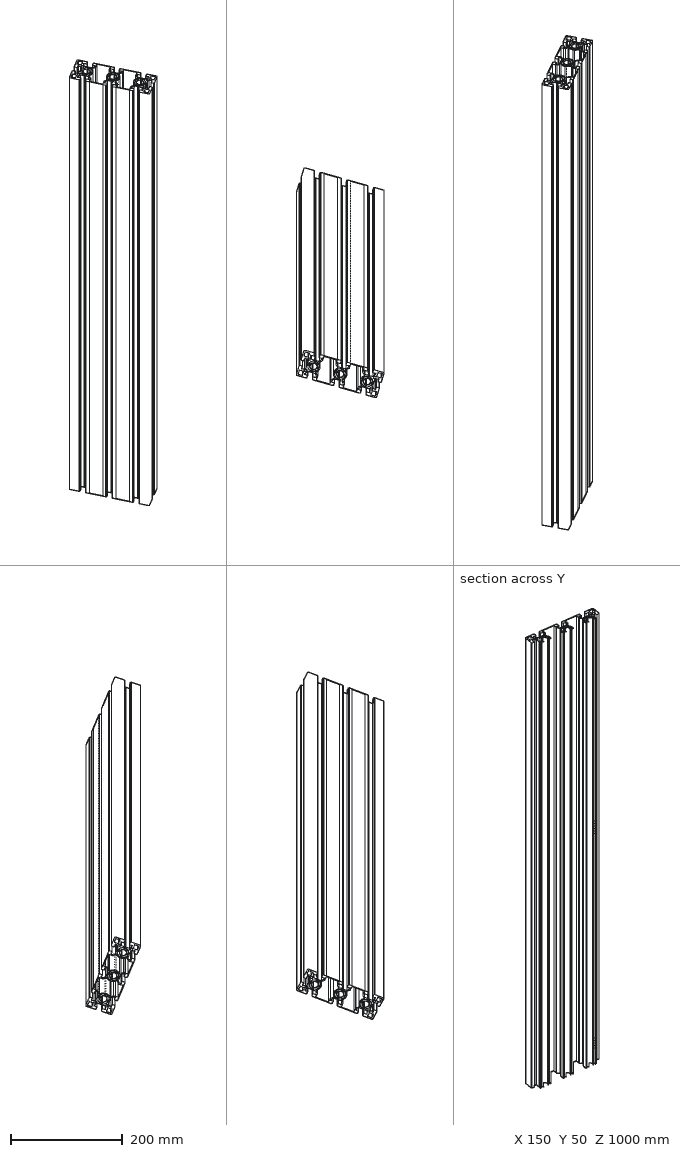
import cadquery as cq
import math

length = 1000.0
pitch = 50.0
columns = (-pitch, 0.0, pitch)
width = len(columns) * pitch
depth = pitch
corner_radius = 2.0

mouth_half = 6.5
throat_half = 5.0
mouth_bevel = 1.0
lip_depth = 6.0
cavity_half = 11.0
cavity_side_depth = 6.5
floor_half = 7.5
floor_depth = 13.0
groove_half = 1.0
groove_depth = 1.0

bore_radius = 6.0
pocket_inner_radius = 6.8
pocket_outer_radius = 10.0
spoke_half_angle = 7.0
core_radius = 12.0

slot_wall = 1.5
face_wall = 1.5
chamber_inset = cavity_half + slot_wall
chamber_top = pitch / 2 - face_wall
slope_end_height = 15.0
core_contact_angle = 54.0

corner_square_near = 14.0
corner_square_far = 22.0
kite_near = 9.0
kite_far = 13.0
kite_side_short = 10.0
kite_side_long = 14.0


def prism(points):
    return cq.Workplane("XY").polyline(points).close().extrude(length)


def polar(radius, degrees):
    angle = math.radians(degrees)
    return radius * math.cos(angle), radius * math.sin(angle)


def t_slot(column, turn):
    """Slot in the -Y face of a module, turned about the module centre."""
    half = [
        (mouth_half, 0),
        (throat_half, mouth_bevel),
        (throat_half, lip_depth),
        (cavity_half, lip_depth),
        (cavity_half, cavity_side_depth),
        (floor_half, floor_depth),
        (groove_half, floor_depth),
    ]
    left = [(-x, inward) for x, inward in half]
    groove_tip = (0, floor_depth + groove_depth)
    outline = [(x, inward - pitch / 2) for x, inward in left + [groove_tip] + half[::-1]]
    return prism(outline).rotate((0, 0, 0), (0, 0, 1), turn).translate((column, 0, 0))


def core_pocket(column, quadrant):
    """Ring sector between two radial spokes."""
    start = 90 * quadrant + spoke_half_angle
    middle = 90 * quadrant + 45
    end = 90 * (quadrant + 1) - spoke_half_angle
    return (
        cq.Workplane("XY", origin=(column, 0, 0))
        .moveTo(*polar(pocket_inner_radius, start))
        .lineTo(*polar(pocket_outer_radius, start))
        .threePointArc(polar(pocket_outer_radius, middle), polar(pocket_outer_radius, end))
        .lineTo(*polar(pocket_inner_radius, end))
        .threePointArc(polar(pocket_inner_radius, middle), polar(pocket_inner_radius, start))
        .close()
        .extrude(length)
    )


def chamber(center):
    """Chamber whose sides follow the slot walls and the round cores."""
    half_gap = pitch / 2
    contact_x, contact_y = polar(core_radius, core_contact_angle)
    contact_x = half_gap - contact_x
    side_x = half_gap - chamber_inset
    bulge_x = half_gap - core_radius
    return (
        cq.Workplane("XY", origin=(center, 0, 0))
        .moveTo(-contact_x, contact_y)
        .lineTo(-side_x, slope_end_height)
        .lineTo(-side_x, chamber_top)
        .lineTo(side_x, chamber_top)
        .lineTo(side_x, slope_end_height)
        .lineTo(contact_x, contact_y)
        .threePointArc((bulge_x, 0), (contact_x, -contact_y))
        .lineTo(side_x, -slope_end_height)
        .lineTo(side_x, -chamber_top)
        .lineTo(-side_x, -chamber_top)
        .lineTo(-side_x, -slope_end_height)
        .lineTo(-contact_x, -contact_y)
        .threePointArc((-bulge_x, 0), (-contact_x, contact_y))
        .close()
        .extrude(length)
    )


def corner_voids(side_x, side_y):
    """Square void at the corner and a kite void next to the core, both on the diagonal."""
    near, far = corner_square_near, corner_square_far
    square = [(near, near), (near, far), (far, far), (far, near)]
    kite = [
        (kite_near, kite_near),
        (kite_side_short, kite_side_long),
        (kite_far, kite_far),
        (kite_side_long, kite_side_short),
    ]
    return [prism([(side_x * (pitch + x), side_y * y) for x, y in shape]) for shape in (square, kite)]


profile = cq.Workplane("XY").rect(width, depth).extrude(length).edges("|Z").fillet(corner_radius)

for column in columns:
    for turn in (0, 180):
        profile = profile.cut(t_slot(column, turn))
profile = profile.cut(t_slot(columns[0], -90)).cut(t_slot(columns[-1], 90))

for column in columns:
    bore = cq.Workplane("XY", origin=(column, 0, 0)).circle(bore_radius).extrude(length)
    profile = profile.cut(bore)
    for quadrant in range(4):
        profile = profile.cut(core_pocket(column, quadrant))

for center in (-pitch / 2, pitch / 2):
    profile = profile.cut(chamber(center))

for side_x in (-1, 1):
    for side_y in (-1, 1):
        for void in corner_voids(side_x, side_y):
            profile = profile.cut(void)

result = profile